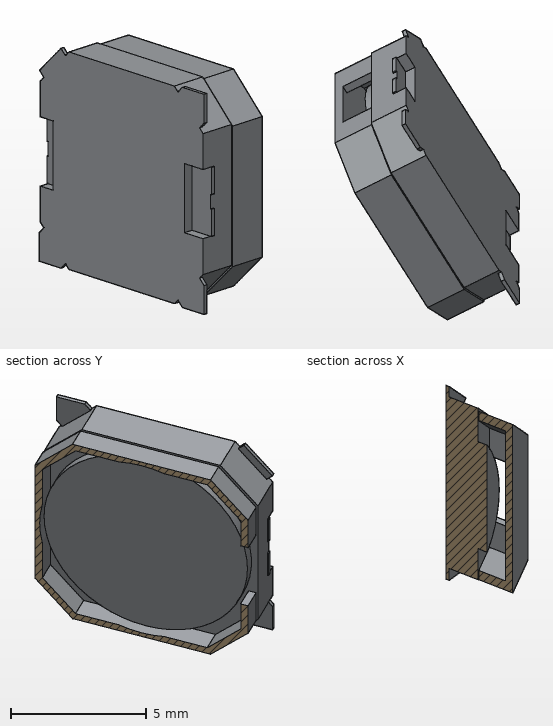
import cadquery as cq
import math

overall_size = 8.6
overall_depth = 3.05
corner_cut = 1.5

base_size = 8.5
base_depth = 1.48

cap_start = 1.505
cap_size = 8.48
cap_shift = 0.05
cap_wall = 0.3
cap_back_wall = 0.335
cavity_end = overall_depth - cap_back_wall
disc_radius = 4.04
disc_end = 1.88

window_height = 2.8

pad_width = 1.6
pad_thickness = 0.15
pad_inner_distance = 4.41
short_pad_length = 0.86

pin_diameter = 0.7
pin_offset = 2.75
pin_depth = base_depth / 2

pocket_height = 2.7
pocket_depth = 0.395
left_pocket_wall = -3.59
right_pocket_wall = 3.28
terminal_gap = 0.57
terminal_thickness = 0.15
left_terminal_slant = 0.095
right_terminal_slant = 0.16


def front_plane(y):
    """Sketch plane parallel to the front face; a negative extrusion runs toward +Y."""
    return cq.Workplane(cq.Plane(origin=(0, y, 0), xDir=(1, 0, 0), normal=(0, -1, 0)))


def cut_corner_block(size, corner, y_start, y_end):
    """Square block along Y with its four corners cut at 45 degrees."""
    block = front_plane(y_start).rect(size, size).extrude(y_start - y_end)
    return block.edges("|Y").chamfer(corner)


def cylinder(radius, y_start, y_end, z=0):
    return front_plane(y_start).center(0, z).circle(radius).extrude(y_start - y_end)


def make_base():
    base = cut_corner_block(base_size, corner_cut, 0, base_depth)
    for wall in (left_pocket_wall, right_pocket_wall):
        side = math.copysign(overall_size / 2, wall)
        pocket = (
            front_plane(0)
            .center((wall + side) / 2, 0)
            .rect(abs(side - wall), pocket_height)
            .extrude(-pocket_depth)
        )
        base = base.cut(pocket)
    return base


def make_cap():
    """Cap shell with its cavity, the disc inside it and the sound window."""
    inner_size = cap_size - 2 * cap_wall
    inner_corner = corner_cut - cap_wall * (2 - math.sqrt(2))
    cap = cut_corner_block(cap_size, corner_cut, cap_start, overall_depth)
    cap = cap.cut(cut_corner_block(inner_size, inner_corner, cap_start, cavity_end))
    cap = cap.cut(cylinder(disc_radius, cap_start, cavity_end))
    window_cut_width = 4 * cap_wall
    window = (
        front_plane(cap_start)
        .center(-cap_size / 2, 0)
        .rect(window_cut_width, window_height)
        .extrude(cap_start - cavity_end)
    )
    cap = cap.cut(window)
    cap = cap.union(cylinder(disc_radius, base_depth, disc_end))
    return cap.translate((cap_shift, 0, -cap_shift))


def make_pad(angle, outer_distance):
    """Diagonal strip trimmed to the square envelope of the part."""
    length = outer_distance - pad_inner_distance
    strip = (
        front_plane(0)
        .center(pad_inner_distance + length / 2, 0)
        .rect(length, pad_width)
        .extrude(-pad_thickness)
        .rotate((0, 0, 0), (0, 1, 0), -angle)
    )
    envelope = front_plane(0).rect(overall_size, overall_size).extrude(-overall_depth)
    return strip.intersect(envelope)


def make_terminal(wall, slant, z_side):
    """Flat strip under a pocket floor with a slanted inner end."""
    side = math.copysign(1, wall)
    outer_x = side * overall_size / 2
    far_z = z_side * pocket_height / 2
    near_z = z_side * terminal_gap / 2
    outline = [(outer_x, far_z), (wall, far_z), (wall + side * slant, near_z), (outer_x, near_z)]
    return front_plane(pocket_depth).polyline(outline).close().extrude(-terminal_thickness)


body = make_base().union(make_cap())

inserts = []
corner_distance = overall_size / math.sqrt(2)
for pad_angle in (45, -45, -135):
    inserts.append(make_pad(pad_angle, corner_distance))
inserts.append(make_pad(135, pad_inner_distance + short_pad_length))

for pin_z in (pin_offset, -pin_offset):
    inserts.append(cylinder(pin_diameter / 2, 0, pin_depth, z=pin_z))

terminal_sides = ((left_pocket_wall, left_terminal_slant), (right_pocket_wall, right_terminal_slant))
for pocket_wall, end_slant in terminal_sides:
    for z_direction in (1, -1):
        inserts.append(make_terminal(pocket_wall, end_slant, z_direction))

for insert in inserts:
    body = body.cut(insert, clean=False).union(insert, clean=False)

result = body